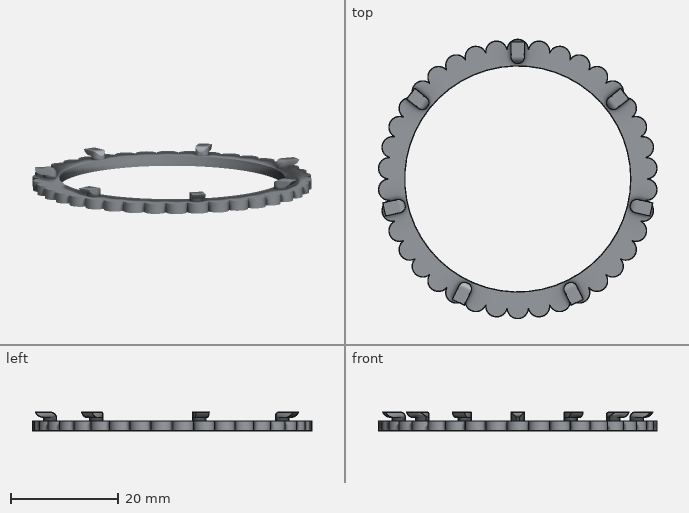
import cadquery as cq
import math

outer_radius = 26.0
lobe_diameter = 4.0
lobe_count = 38
bore_diameter = 42.0
ring_height = 1.85
lobe_radius = lobe_diameter / 2
lobe_circle_radius = outer_radius - lobe_radius

hook_count = 7
total_height = 3.5
post_diameter = 2.5
post_circle_radius = 22.7
neck_height = 0.6
hook_reach = 2.75
heel_reach = 1.2

post_radius = post_diameter / 2
hook_bottom = ring_height + neck_height
hook_thickness = total_height - hook_bottom


def make_ring():
    """Disc with a row of round lobes along its rim and a central bore."""
    disc = cq.Workplane("XY").circle(lobe_circle_radius).extrude(ring_height)
    lobes = (
        cq.Workplane("XY")
        .polarArray(lobe_circle_radius, 90, 360, lobe_count)
        .circle(lobe_radius)
        .extrude(ring_height)
    )
    bore = cq.Workplane("XY").circle(bore_diameter / 2).extrude(ring_height)
    return disc.union(lobes).cut(bore)


def make_side_profile():
    """Side shape of a hook in the YZ plane, post axis at Y = 0, outward along +Y."""
    run = hook_reach - post_radius
    underside_radius = (run**2 + hook_thickness**2) / (2 * hook_thickness)
    half_sweep = math.asin(run / underside_radius) / 2
    underside_middle = (
        post_radius + underside_radius * math.sin(half_sweep),
        hook_bottom + underside_radius * (1 - math.cos(half_sweep)),
    )
    heel_sweep = math.asin(heel_reach / post_radius)
    bend_center_height = total_height - post_radius
    heel_middle = (
        -post_radius * math.sin(heel_sweep / 2),
        bend_center_height + post_radius * math.cos(heel_sweep / 2),
    )
    heel_end = (-heel_reach, bend_center_height + post_radius * math.cos(heel_sweep))
    return (
        cq.Workplane("YZ")
        .moveTo(-heel_reach, 0)
        .lineTo(post_radius, 0)
        .lineTo(post_radius, hook_bottom)
        .threePointArc(underside_middle, (hook_reach, total_height))
        .lineTo(0, total_height)
        .threePointArc(heel_middle, heel_end)
        .close()
        .extrude(post_radius, both=True)
    )


def make_hook():
    """Round post with a hook head as wide as the post, reaching out along +Y."""
    post = cq.Workplane("XY").circle(post_radius).extrude(total_height)
    head = (
        cq.Workplane("XY", origin=(0, 0, hook_bottom))
        .rect(post_diameter, hook_reach, centered=(True, False))
        .extrude(hook_thickness)
    )
    return post.union(head).intersect(make_side_profile())


result = make_ring()
hook = make_hook().translate((0, post_circle_radius, 0))
for index in range(hook_count):
    result = result.union(hook.rotate((0, 0, 0), (0, 0, 1), index * 360 / hook_count))